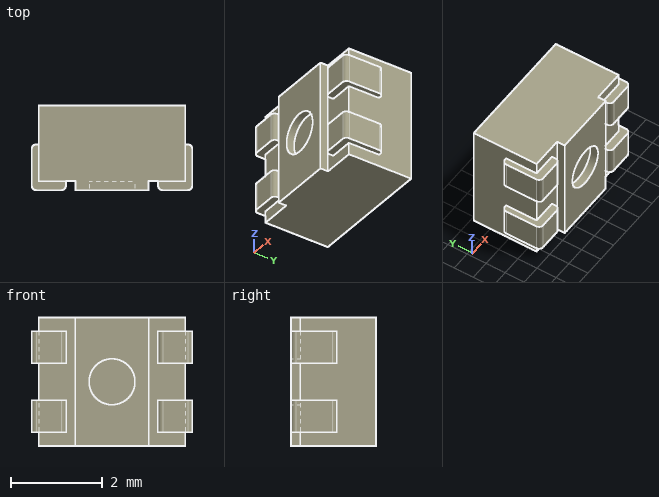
import cadquery as cq

overall_width = 3.5
overall_depth = 1.85
height = 2.8

body_width = 3.2
pad_width = 1.6
pad_step = 0.2
recess_diameter = 1.0
recess_depth = 0.2

lead_height = 0.7
lead_pitch = 1.5
lead_foot_length = 0.75
lead_side_length = 1.0
lead_radius = 0.1

front_y = -overall_depth / 2
step_y = front_y + pad_step
back_y = overall_depth / 2


def box(x_min, x_max, y_min, y_max, z_height):
    """Box between the given X and Y limits, centred on Z = 0."""
    size_x = x_max - x_min
    size_y = y_max - y_min
    centre = ((x_min + x_max) / 2, (y_min + y_max) / 2, 0)
    return cq.Workplane("XY").box(size_x, size_y, z_height).translate(centre)


def make_body():
    block = box(-body_width / 2, body_width / 2, step_y, back_y, height)
    pad = box(-pad_width / 2, pad_width / 2, front_y, step_y, height)
    recess = (
        cq.Workplane("XZ", origin=(0, front_y, 0))
        .circle(recess_diameter / 2)
        .extrude(-recess_depth)
    )
    return block.union(pad).cut(recess)


def make_right_lead():
    """Right-hand (+X) lead; the part inside the body merges with it."""
    outer_x = overall_width / 2
    inner_x = outer_x - lead_foot_length
    rear_y = front_y + lead_side_length
    lead = box(inner_x, outer_x, front_y, rear_y, lead_height)
    outer_edges = lead.edges("|Z and >X")
    foot_end_edge = lead.edges("|Z and <X").edges("<Y")
    return lead.newObject(outer_edges.vals() + foot_end_edge.vals()).fillet(lead_radius)


result = make_body()
right_lead = make_right_lead()
for lead in (right_lead, right_lead.mirror("YZ")):
    for z in (-lead_pitch / 2, lead_pitch / 2):
        result = result.union(lead.translate((0, 0, z)))